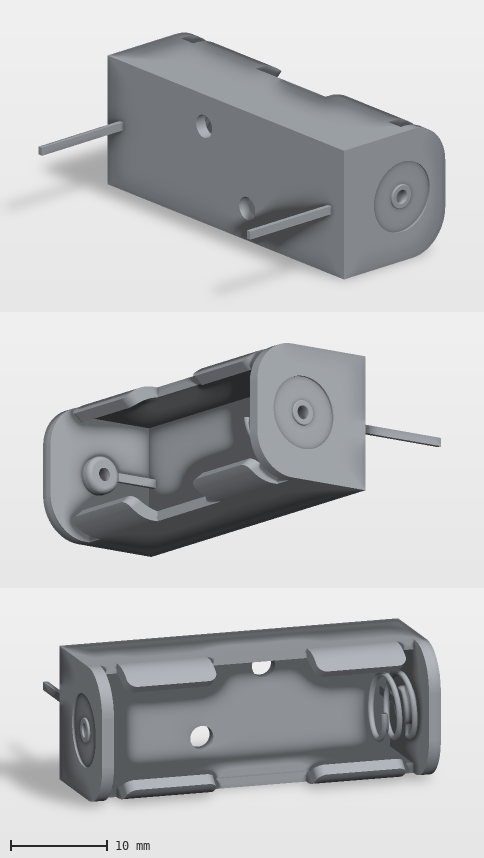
import cadquery as cq
import math

length = 36.88
width = 14.25
height = 13.98
corner_radius = 4.5
end_wall = 1.3
rim_height = 8.95

cell_axis_height = 8.0
bore_radius = 6.12
floor_thickness = 1.25

clip_inset = 3.25
clip_length = 9.75
clip_tip_height = 12.95
clip_tip_fillet = 1.0

mount_hole_radius = 1.25
mount_hole_offset_x = 3.35
mount_hole_offset_z = 3.58

recess_radius = 3.87
recess_depth = 0.25

rivet_radius = 1.33
rivet_bore_radius = 0.7
rivet_edge_fillet = 0.1
head_radius = 2.0
head_length = 1.33
head_fillet = 0.5

pin_thickness = 0.5
pin_width = 0.9
pin_inset = 1.95
pin_reach = 11.2

wire_radius = 0.3
coil_radius = 3.35
coil_pitch = 1.65
coil_turns = 2.25
coil_start_x = end_wall + wire_radius

mid_x = length / 2
half_width = width / 2
corner_center_y = height - corner_radius
corner_center_z = half_width - corner_radius
head_underside = cell_axis_height - head_radius


def block(x_range, y_range, z_range):
    """Box between two limits along each axis."""
    sizes = [high - low for low, high in (x_range, y_range, z_range)]
    corner = (x_range[0], y_range[0], z_range[0])
    return cq.Workplane("XY").box(*sizes, centered=False).translate(corner)


def cylinder_x(radius, x_start, x_end):
    """Round bar along the cell axis."""
    axis_start = cq.Workplane("YZ", origin=(x_start, cell_axis_height, 0))
    return axis_start.circle(radius).extrude(x_end - x_start)


def mirrored(shape):
    """The same shape at the opposite end of the housing."""
    return shape.mirror("YZ", (mid_x, 0, 0))


def make_envelope():
    """Block with the two long top edges rounded."""
    body = block((0, length), (0, height), (-half_width, half_width))
    return body.edges("|X and >Y").fillet(corner_radius)


def make_clip():
    """Curved clip of the upper (+Z) wall near the -X end, ending square to its outer arc."""
    rise = clip_tip_height - corner_center_y
    tip_angle = math.asin(rise / corner_radius)
    tip_z = corner_center_z + corner_radius * math.cos(tip_angle)
    mid_angle = tip_angle / 2
    arc_middle = (
        corner_center_y + corner_radius * math.sin(mid_angle),
        corner_center_z + corner_radius * math.cos(mid_angle),
    )
    clip = (
        cq.Workplane("YZ", origin=(clip_inset, 0, 0))
        .moveTo(rim_height, corner_center_z)
        .lineTo(rim_height, half_width)
        .lineTo(corner_center_y, half_width)
        .threePointArc(arc_middle, (clip_tip_height, tip_z))
        .lineTo(corner_center_y, corner_center_z)
        .close()
        .extrude(clip_length)
    )
    clip = clip.cut(cylinder_x(bore_radius, 0, length))
    across = cq.Vector(0, rise, tip_z - corner_center_z)
    tip_edges = clip.edges(cq.selectors.ParallelDirSelector(across))
    return tip_edges.fillet(clip_tip_fillet)


def make_pin():
    """Flat solder pin, from below the mounting face up to the rivet head."""
    return block(
        (pin_inset, pin_inset + pin_thickness),
        (-pin_reach, head_underside),
        (-pin_width / 2, pin_width / 2),
    )


def make_rivet():
    """Hollow rivet through the -X end wall, its rounded head inside the housing."""
    head_end = end_wall + head_length
    head = cylinder_x(head_radius, end_wall, head_end).faces(">X").edges().fillet(head_fillet)
    rivet = head.union(cylinder_x(rivet_radius, 0, end_wall))
    rivet = rivet.cut(cylinder_x(rivet_bore_radius, 0, head_end))
    return rivet.faces("<X").edges().fillet(rivet_edge_fillet)


def make_spring_rivet():
    """Rivet carrying the coil spring, joined to it by a straight leg along the end wall."""
    helix = cq.Wire.makeHelix(coil_pitch, coil_pitch * coil_turns, coil_radius)
    coil = (
        cq.Workplane("XZ", origin=(coil_radius, 0, 0))
        .circle(wire_radius)
        .sweep(cq.Workplane(obj=helix), isFrenet=True)
    )
    leg_start = head_radius - wire_radius
    leg = (
        cq.Workplane("YZ", origin=(leg_start, 0, 0))
        .circle(wire_radius)
        .extrude(coil_radius - leg_start)
    )
    spring = (
        coil.union(leg)
        .rotate((0, 0, 0), (0, 1, 0), 90)
        .translate((coil_start_x, cell_axis_height, 0))
    )
    return make_rivet().union(spring)


def make_housing():
    """Open-topped cell holder with two pairs of clips, end walls and mounting holes."""
    envelope = make_envelope()
    inside_x = (end_wall, length - end_wall)
    opening = block(inside_x, (rim_height, height), (-half_width, half_width))
    trough = block(inside_x, (floor_thickness, cell_axis_height), (-bore_radius, bore_radius))
    bore = cylinder_x(bore_radius, *inside_x)
    body = envelope.cut(opening).cut(trough).cut(bore)

    for clip in (make_clip(), mirrored(make_clip())):
        body = body.union(clip).union(clip.mirror("XY"))

    for side in (-1, 1):
        center = (mid_x + side * mount_hole_offset_x, 0, -side * mount_hole_offset_z)
        hole = cq.Workplane("XZ", origin=center).circle(mount_hole_radius).extrude(-floor_thickness)
        body = body.cut(hole)

    end_cut = cylinder_x(recess_radius, 0, recess_depth).union(cylinder_x(rivet_radius, 0, end_wall))
    for cutter in (end_cut, make_pin()):
        body = body.cut(cutter).cut(mirrored(cutter))
    return body


housing = make_housing()
spring_rivet = make_spring_rivet()
plain_rivet = mirrored(make_rivet())
pins = [make_pin(), mirrored(make_pin())]

result = cq.Compound.makeCompound(
    [housing.val(), spring_rivet.val(), plain_rivet.val()] + [pin.val() for pin in pins]
)